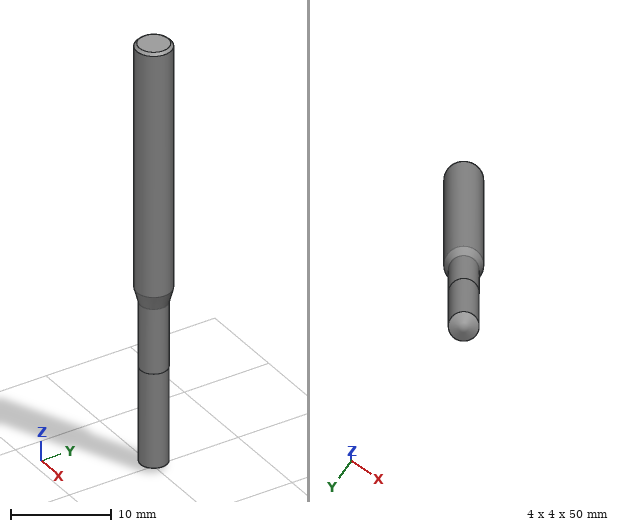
import cadquery as cq
import math

total_length = 50.0
shank_radius = 2.0
cutter_radius = 1.55

chamfer = 0.3
taper_top = 21.2
taper_bottom = 19.5

cutter_top = 11.85
point_angle = 130.0
point_height = cutter_radius / math.tan(math.radians(point_angle / 2))


def make_shank():
    """Shank turned about Z, including the neck that meets the cutter."""
    profile = [
        (0, cutter_top),
        (-cutter_radius, cutter_top),
        (-cutter_radius, taper_bottom),
        (-shank_radius, taper_top),
        (-shank_radius, total_length - chamfer),
        (-shank_radius + chamfer, total_length),
        (0, total_length),
    ]
    return cq.Workplane("YZ").polyline(profile).close().revolve(360, (0, 0), (0, 1))


def make_cutter():
    """Round cutter below the neck, ending in a conical point."""
    profile = [
        (0, 0),
        (-cutter_radius, point_height),
        (-cutter_radius, cutter_top),
        (0, cutter_top),
    ]
    return cq.Workplane("XZ").polyline(profile).close().revolve(360, (0, 0), (0, 1))


shank = make_shank()
cutter = make_cutter()

result = cq.Compound.makeCompound([shank.val(), cutter.val()])